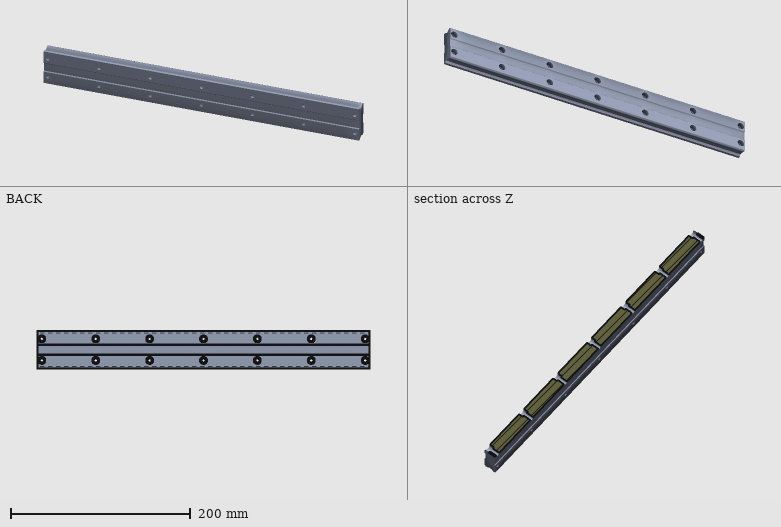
import cadquery as cq
import math

length = 370.0
thickness = 15.0
height = 42.0
front_y = -thickness / 2
back_y = thickness / 2
top_z = height / 2

relief_depth = 1.0
relief_floor_half_height = 5.0
relief_mouth_half_height = relief_floor_half_height + relief_depth

ridge_y = 5.1
crest_width = 1.0
ridge_slope = math.tan(math.radians(33.3))
crest_radius = 1.6
back_corner_radius = 1.0
crest_front_y = ridge_y - crest_width / 2
crest_back_y = ridge_y + crest_width / 2
back_corner_z = top_z - ridge_slope * (back_y - crest_back_y)

groove_depth = 2.27
groove_floor_z = top_z - groove_depth
groove_foot_y = crest_front_y - groove_depth / ridge_slope
groove_foot_radius = 2.4
front_lip_width = 2.95
front_wall_angle = math.radians(55.0)
groove_front_y = front_y + front_lip_width
groove_floor_front_y = groove_front_y + groove_depth / math.tan(front_wall_angle)

holes_per_row = 7
hole_pitch = 60.0
row_spacing = 24.0
hole_diameter = 4.5
counterbore_diameter = 8.0
counterbore_depth = 5.5


def round_edge_pair(body, y, z, radius):
    """Fillet the lengthwise edge at (y, z) and its mirror image at (y, -z)."""
    for edge_z in (z, -z):
        edge = cq.selectors.NearestToPointSelector((0, y, edge_z))
        body = body.edges(edge).fillet(radius)
    return body


def rail_body():
    """Extrude the section along X, alike at top and bottom, and round its ridges."""
    upper_half = [
        (front_y + relief_depth, relief_floor_half_height),
        (front_y, relief_mouth_half_height),
        (front_y, top_z),
        (groove_front_y, top_z),
        (groove_floor_front_y, groove_floor_z),
        (groove_foot_y, groove_floor_z),
        (crest_front_y, top_z),
        (crest_back_y, top_z),
        (back_y, back_corner_z),
        (back_y, relief_mouth_half_height),
        (back_y - relief_depth, relief_floor_half_height),
    ]
    lower_half = [(y, -z) for y, z in reversed(upper_half)]
    end_plane = cq.Workplane("YZ", origin=(-length / 2, 0, 0))
    section = end_plane.polyline(upper_half + lower_half).close()
    body = section.extrude(length)
    body = round_edge_pair(body, crest_front_y, top_z, crest_radius)
    body = round_edge_pair(body, crest_back_y, top_z, crest_radius)
    body = round_edge_pair(body, back_y, back_corner_z, back_corner_radius)
    return round_edge_pair(body, groove_foot_y, groove_floor_z, groove_foot_radius)


def screw_holes():
    """Build the cutters for both rows of counterbored through holes."""
    back_plane = cq.Workplane("XZ", origin=(0, back_y, 0))
    centres = back_plane.rarray(hole_pitch, row_spacing, holes_per_row, 2)
    shanks = centres.circle(hole_diameter / 2).extrude(thickness)
    counterbores = centres.circle(counterbore_diameter / 2).extrude(counterbore_depth)
    return shanks.union(counterbores)


result = rail_body().cut(screw_holes())